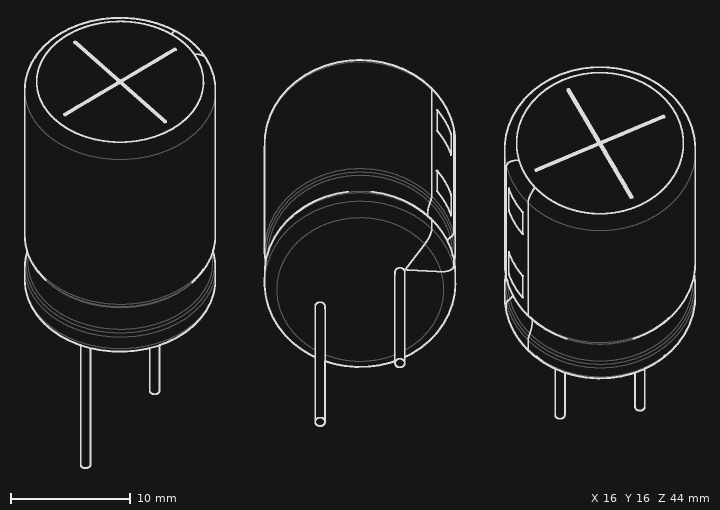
import cadquery as cq
import math

overall_height = 44

can_diameter = 16.0
can_radius = can_diameter / 2
can_height = 25.0
edge_fillet = 1.0
flat_end_radius = can_radius - edge_fillet

groove_center_z = 4.4
groove_depth = 0.6
groove_arc_radius = 2.65
groove_lip_radius = 0.8
groove_wall_angle = math.radians(30)

top_disc_thickness = 0.4
cross_length = 12.0
cross_width = 0.18
cross_depth = top_disc_thickness / 2

stripe_apex_y = 4.22
stripe_half_angle = math.radians(30)
mark_length = 3.45
mark_width = 2.65
mark_depth = 0.4
mark_spacing = 10.0
mark_middle_z = 14.85

lead_diameter = 0.85
lead_spacing = 7.5
short_lead_length = 15.0
long_lead_length = overall_height - can_height

beyond_can = 2 * can_radius


def groove_profile(profile):
    """Add the groove to an outline that is running up the can wall."""
    sine = math.sin(groove_wall_angle)
    cosine = math.cos(groove_wall_angle)
    lip_middle = groove_wall_angle / 2

    arc_end_radius = can_radius - groove_depth + groove_arc_radius * (1 - cosine)
    arc_end_offset = groove_arc_radius * sine
    wall_end_radius = can_radius - groove_lip_radius * (1 - cosine)
    wall_end_offset = arc_end_offset + (wall_end_radius - arc_end_radius) * cosine / sine
    lip_end_offset = wall_end_offset + groove_lip_radius * sine
    lip_middle_radius = can_radius - groove_lip_radius * (1 - math.cos(lip_middle))
    lip_middle_offset = lip_end_offset - groove_lip_radius * math.sin(lip_middle)

    return (
        profile.lineTo(can_radius, groove_center_z - lip_end_offset)
        .threePointArc(
            (lip_middle_radius, groove_center_z - lip_middle_offset),
            (wall_end_radius, groove_center_z - wall_end_offset),
        )
        .lineTo(arc_end_radius, groove_center_z - arc_end_offset)
        .threePointArc(
            (can_radius - groove_depth, groove_center_z),
            (arc_end_radius, groove_center_z + arc_end_offset),
        )
        .lineTo(wall_end_radius, groove_center_z + wall_end_offset)
        .threePointArc(
            (lip_middle_radius, groove_center_z + lip_middle_offset),
            (can_radius, groove_center_z + lip_end_offset),
        )
    )


def make_can_envelope():
    """The whole can as one solid of revolution, rounded at both ends."""
    profile = cq.Workplane("YZ").lineTo(can_radius, 0)
    profile = groove_profile(profile)
    profile = profile.lineTo(can_radius, can_height).lineTo(0, can_height).close()
    envelope = profile.revolve(360, (0, 0, 0), (0, 1, 0))
    return envelope.faces("<Z or >Z").edges().fillet(edge_fillet)


def make_top_disc_blank():
    disc_bottom = can_height - top_disc_thickness
    return cq.Workplane("XY", origin=(0, 0, disc_bottom)).circle(flat_end_radius).extrude(top_disc_thickness)


def score_cross(disc):
    """Cut two crossing slots into the disc's upper face."""
    for length_x, length_y in ((cross_length, cross_width), (cross_width, cross_length)):
        slot = cq.Workplane("XY", origin=(0, 0, can_height)).rect(length_x, length_y).extrude(-cross_depth)
        disc = disc.cut(slot)
    return disc


def make_stripe_wedge():
    """A vertical triangular prism that opens toward +Y."""
    reach = beyond_can - stripe_apex_y
    half_width = reach * math.tan(stripe_half_angle)
    return (
        cq.Workplane("XY")
        .moveTo(0, stripe_apex_y)
        .lineTo(half_width, beyond_can)
        .lineTo(-half_width, beyond_can)
        .close()
        .extrude(can_height)
    )


def make_mark(stripe, center_z):
    """A minus mark that lies along Z and is flush with the stripe's outer face."""
    block = (
        cq.Workplane("XZ", origin=(0, can_radius - mark_depth, center_z))
        .rect(mark_width, mark_length)
        .extrude(-beyond_can)
    )
    return stripe.intersect(block)


def make_lead(center_y, length):
    return cq.Workplane("XY", origin=(0, center_y, 0)).circle(lead_diameter / 2).extrude(-length)


can_envelope = make_can_envelope()
top_blank = make_top_disc_blank()
stripe_wedge = make_stripe_wedge()

can = can_envelope.cut(top_blank).cut(stripe_wedge)
top_disc = score_cross(top_blank)

stripe = can_envelope.intersect(stripe_wedge).cut(top_blank)
marks = [make_mark(stripe, mark_middle_z + side * mark_spacing / 2) for side in (-1, 1)]
for mark in marks:
    stripe = stripe.cut(mark)

leads = [
    make_lead(lead_spacing / 2, short_lead_length),
    make_lead(-lead_spacing / 2, long_lead_length),
]

bodies = [can, top_disc, stripe, *marks, *leads]
result = cq.Compound.makeCompound([body.val() for body in bodies])